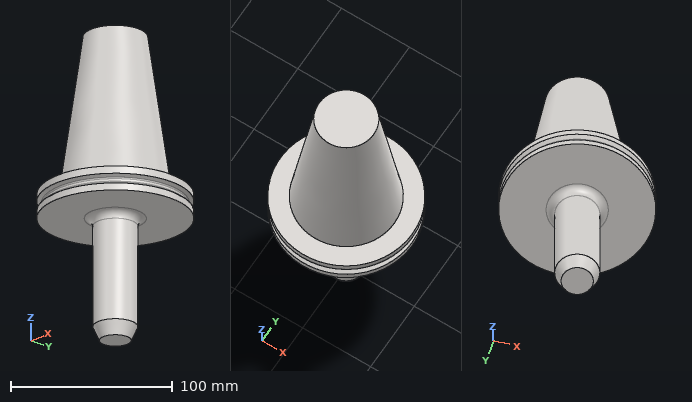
import cadquery as cq
import math

total_height = 201.8
tip_height = 9.0
flange_bottom = 81.1
flange_top = 97.0

tip_diameter = 20.0
shank_diameter = 28.0
flange_diameter = 97.5
groove_diameter = 91.2
taper_large_diameter = 70.6
taper_small_diameter = 40.4

shank_fillet_radius = 5.2

groove_center_height = 89.0
groove_width = 6.5
groove_wall_angle = 60.0
groove_fillet_radius = 1.0


def revolve_about_axis(profile):
    """Revolve a closed XZ profile a full turn about Z."""
    return profile.revolve(360, (0, 0, 0), (0, 1, 0))


def make_shank():
    """Pilot with a conical tip and a fillet flaring out to the flange."""
    shank_radius = shank_diameter / 2
    profile = (
        cq.Workplane("XZ")
        .lineTo(tip_diameter / 2, 0)
        .lineTo(shank_radius, tip_height)
        .lineTo(shank_radius, flange_bottom - shank_fillet_radius)
        .radiusArc((shank_radius + shank_fillet_radius, flange_bottom), shank_fillet_radius)
        .lineTo(0, flange_bottom)
        .close()
    )
    return revolve_about_axis(profile)


def make_flange():
    """Disc with the gripper groove in its rim."""
    flange_radius = flange_diameter / 2
    groove_radius = groove_diameter / 2
    half_width = groove_width / 2
    angle = math.radians(groove_wall_angle)

    corner_rise = groove_fillet_radius * (1 - math.cos(angle))
    corner_width = groove_fillet_radius * math.sin(angle)
    wall_inner_radius = groove_radius + corner_rise
    wall_width = (flange_radius - wall_inner_radius) / math.tan(angle)
    wall_inner_offset = half_width - wall_width
    floor_offset = wall_inner_offset - corner_width

    profile = (
        cq.Workplane("XZ")
        .moveTo(0, flange_bottom)
        .lineTo(flange_radius, flange_bottom)
        .lineTo(flange_radius, groove_center_height - half_width)
        .lineTo(wall_inner_radius, groove_center_height - wall_inner_offset)
        .radiusArc((groove_radius, groove_center_height - floor_offset), groove_fillet_radius)
        .lineTo(groove_radius, groove_center_height + floor_offset)
        .radiusArc((wall_inner_radius, groove_center_height + wall_inner_offset), groove_fillet_radius)
        .lineTo(flange_radius, groove_center_height + half_width)
        .lineTo(flange_radius, flange_top)
        .lineTo(0, flange_top)
        .close()
    )
    return revolve_about_axis(profile)


def make_taper():
    """Conical seat rising from the flange."""
    profile = (
        cq.Workplane("XZ")
        .moveTo(0, flange_top)
        .lineTo(taper_large_diameter / 2, flange_top)
        .lineTo(taper_small_diameter / 2, total_height)
        .lineTo(0, total_height)
        .close()
    )
    return revolve_about_axis(profile)


result = make_shank().union(make_flange()).union(make_taper())